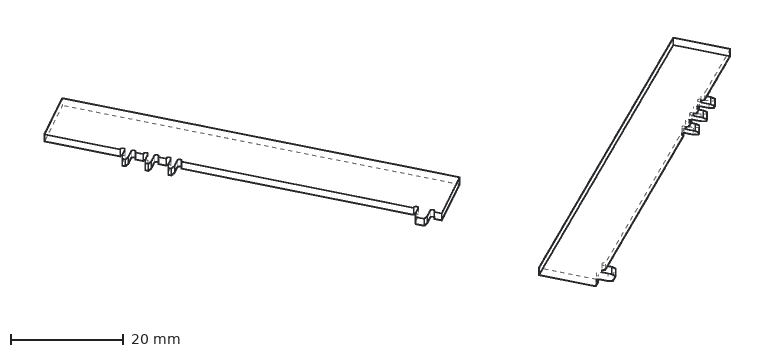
import cadquery as cq

length = 74.0
overall_depth = 13.0
thickness = 1.6
tab_reach = 2.4
body_depth = overall_depth - tab_reach

narrow_width = 1.2
wide_width = 2.2
first_narrow_centre = 15.55
narrow_pitch = 4.3
narrow_count = 3
wide_centre = 70.7

taper_length = 0.9
taper_inset = 0.3
notch_radius = 0.41
notch_depth = 0.5


def make_tab(centre, width):
    """Tab with a tapered tip, rooted at the front edge of the plate (Y = 0)."""
    half_width = width / 2
    half_tip = half_width - taper_inset
    shoulder = -tab_reach + taper_length
    return (
        cq.Workplane("XY")
        .moveTo(centre - half_width, 0)
        .lineTo(centre - half_width, shoulder)
        .lineTo(centre - half_tip, -tab_reach)
        .lineTo(centre + half_tip, -tab_reach)
        .lineTo(centre + half_width, shoulder)
        .lineTo(centre + half_width, 0)
        .close()
        .extrude(thickness)
    )


def make_notch(centre):
    """Round-ended relief cut into the front edge of the plate."""
    left = centre - notch_radius
    right = centre + notch_radius
    arc_start = notch_depth - notch_radius
    return (
        cq.Workplane("XY")
        .moveTo(left, 0)
        .lineTo(left, arc_start)
        .threePointArc((centre, notch_depth), (right, arc_start))
        .lineTo(right, 0)
        .close()
        .extrude(thickness)
    )


tabs = [(first_narrow_centre + i * narrow_pitch, narrow_width) for i in range(narrow_count)]
tabs.append((wide_centre, wide_width))

result = cq.Workplane("XY").box(length, body_depth, thickness, centered=False)
for tab_centre, tab_width in tabs:
    notch_offset = tab_width / 2 + notch_radius
    for side in (-1, 1):
        result = result.cut(make_notch(tab_centre + side * notch_offset))
    result = result.union(make_tab(tab_centre, tab_width))